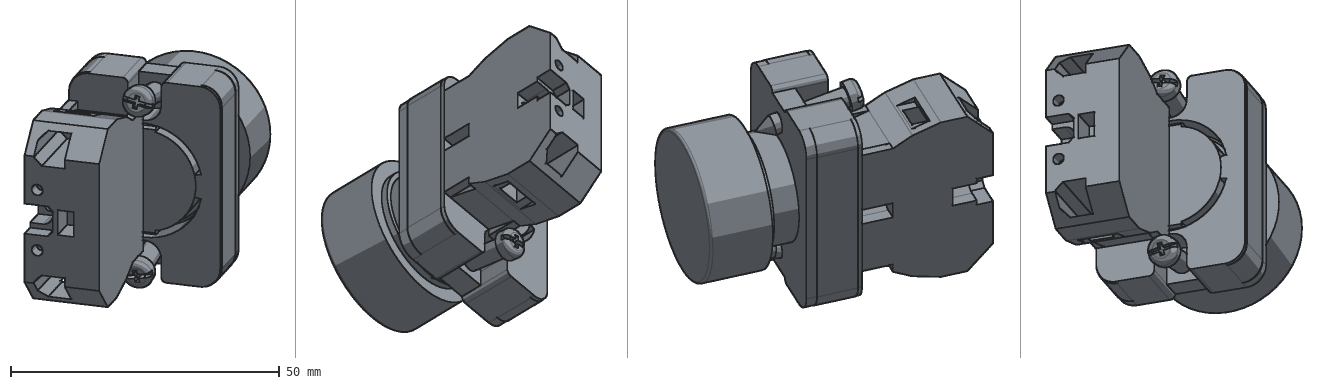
import cadquery as cq
import math


CAP_END = -12.5
GASKET_END = -13.85
COLLAR_BACK = -19.2
BAND_BACK = -21.3
NECK_END = -23.75
BAND_FRONT = -29.45
COLLAR_FRONT = -30.3
SHELF_END = -36.35
BLOCK_FRONT = -56.3

CAP_RADIUS = 14.85
CAP_EDGE_FILLET = 0.5
GASKET_RADIUS = 12.0
NECK_RADIUS = 10.9
STUB_RADIUS = 10.1
KEY_WIDTH = 4.3
KEY_TOP = 10.8
KEY_CHAMFER = 0.5

COLLAR_WIDTH = 29.65
COLLAR_HEIGHT = 40.0
BAND_WIDTH = 29.9
CORNER_RADIUS = 3.95
NOTCH_WIDTH = 6.55
NOTCH_EDGE_FILLET = 1.05
NOTCH_ARC_CENTER = 15.25
TAB_TOP = 19.0
BAYONET_RADIUS = 11.4
BAYONET_START = 12.5

SCREW_TILT = 10.5
TIP_Y = -14.45
TIP_Z = 13.5
TIP_LENGTH = 3.5
SHANK_RADIUS = 1.95
SCREW_UNDER_HEAD = 18.5
HEAD_RADIUS = 2.9
HEAD_HEIGHT = 2.7
HEAD_STRAIGHT = 1.7
HEAD_FACE_RADIUS = 1.8
HEAD_ROUND = 1.1
DRIVE_ANGLE = 11.0
SLOT_WIDTH = 0.85
SLOT_LENGTH = 6.75
SLOT_DEPTH = 1.25
CROSS_LENGTH = 2.5

BLOCK_LEFT = -BAND_WIDTH / 2
BLOCK_RIGHT = -0.3
SHELF_Z = 14.2
KNEE_Y, KNEE_Z = -40.25, 16.2
CREST_Y, CREST_Z = -45.9, 17.8
CHAMFER = 5.1
RAMP_LEFT = -13.1
RAMP_RIGHT = -2.1
RAMP_LOW_Z = 12.5
SIDE_SLOT_RADIUS = 1.65
SIDE_SLOT_STRAIGHT = 2.55
LABEL_LEFT, LABEL_RIGHT = -13.1, -5.25
LABEL_BACK, LABEL_FRONT = -40.75, -44.35
TERMINAL_LEFT, TERMINAL_RIGHT = -13.1, -7.05
TERMINAL_LOW, TERMINAL_HIGH = 10.9, 16.55
TERMINAL_CORNER = 1.6
TERMINAL_BACK = -41.3
HOLE_X = -12.45
PROBE_HOLE_RADIUS = 1.05
PROBE_HOLE_Z = 6.0
PROBE_HOLE_DEPTH = 2.8
CLAMP_WIDTH = 5.95
CLAMP_RIGHT = -9.4
CLAMP_CORNER = 1.0
CLAMP_DEPTH = 3.25
CLAMP_SLOT_RADIUS = 1.95
CLAMP_SLOT_DEPTH = 8.05
CLAMP_HOLE_RADIUS = 1.2
CLAMP_HOLE_DEPTH = 2.8
SOCKET_LEFT, SOCKET_RIGHT = -8.45, -5.3
SOCKET_HEIGHT = 4.95
SOCKET_DEPTH = 5.65


def section_at(y):
    """Workplane whose local x is +X, local y is +Z, and which extrudes toward -Y."""
    return cq.Workplane("XZ", origin=(0, y, 0))


def box(x_range, y_range, z_range):
    """Box spanning three (low, high) ranges."""
    (x0, x1), (y0, y1), (z0, z1) = x_range, y_range, z_range
    return cq.Workplane("XY").box(x1 - x0, y1 - y0, z1 - z0, centered=False).translate((x0, y0, z0))


def disc(radius, y_back, y_front):
    return section_at(y_back).circle(radius).extrude(y_back - y_front)


def with_mirror_image(shape):
    """The shape together with its mirror image in the plane z = 0."""
    return shape.union(shape.mirror("XY"))


def stub_key():
    """Flat-topped key above the stub, bevelled at its front edge."""
    half = KEY_WIDTH / 2
    key = box((-half, half), (COLLAR_FRONT, NECK_END), (0, KEY_TOP))
    return key.edges("<Y and >Z").chamfer(KEY_CHAMFER)


def make_head():
    cap = disc(CAP_RADIUS, 0, CAP_END).faces(">Y").edges().fillet(CAP_EDGE_FILLET)
    neck = disc(NECK_RADIUS, CAP_END, NECK_END)
    stub = disc(STUB_RADIUS, NECK_END, COLLAR_FRONT)
    return cap.union(neck).union(stub).union(with_mirror_image(stub_key()))


def make_gasket():
    return disc(GASKET_RADIUS, CAP_END, GASKET_END).cut(disc(NECK_RADIUS, CAP_END, GASKET_END))


def make_screw():
    """Upper screw: pointed shank and a round head with a slotted cross recess."""
    face_y = -SCREW_UNDER_HEAD - HEAD_HEIGHT
    screw = (
        cq.Workplane("XY")
        .lineTo(SHANK_RADIUS, -TIP_LENGTH)
        .lineTo(SHANK_RADIUS, -SCREW_UNDER_HEAD)
        .lineTo(HEAD_RADIUS, -SCREW_UNDER_HEAD)
        .lineTo(HEAD_RADIUS, -SCREW_UNDER_HEAD - HEAD_STRAIGHT)
        .radiusArc((HEAD_FACE_RADIUS, face_y), HEAD_ROUND)
        .lineTo(0, face_y)
        .close()
        .revolve(360, (0, 0, 0), (0, 1, 0))
    )
    drive_plane = section_at(face_y + SLOT_DEPTH)
    slot = drive_plane.rect(SLOT_LENGTH, SLOT_WIDTH).extrude(SLOT_DEPTH)
    cross = drive_plane.rect(SLOT_WIDTH, CROSS_LENGTH).extrude(SLOT_DEPTH)
    drive = slot.union(cross).rotate((0, 0, 0), (0, 1, 0), DRIVE_ANGLE)
    tilted = screw.cut(drive).rotate((0, 0, 0), (1, 0, 0), -SCREW_TILT)
    return tilted.translate((0, TIP_Y, TIP_Z))


def collar_slab(width, y_back, y_front):
    slab = section_at(y_back).rect(width, COLLAR_HEIGHT).extrude(y_back - y_front)
    return slab.edges("|Y").fillet(CORNER_RADIUS)


def cut_screw_notch(collar):
    """Opening in the upper edge that leaves a low tab for the screw, with a round-bottomed bay before it."""
    half = NOTCH_WIDTH / 2
    top = COLLAR_HEIGHT / 2
    collar = collar.cut(box((-half, half), (COLLAR_FRONT, COLLAR_BACK), (TAB_TOP, top)))
    bay = (
        section_at(NECK_END)
        .moveTo(-half, top)
        .lineTo(-half, NOTCH_ARC_CENTER)
        .threePointArc((0, NOTCH_ARC_CENTER - half), (half, NOTCH_ARC_CENTER))
        .lineTo(half, top)
        .close()
        .extrude(NECK_END - COLLAR_FRONT)
    )
    collar = collar.cut(bay)
    middle = (COLLAR_BACK + COLLAR_FRONT) / 2
    for x in (-half, half):
        edge = cq.selectors.NearestToPointSelector((x, middle, top))
        collar = collar.edges(edge).fillet(NOTCH_EDGE_FILLET)
    return collar


def bayonet_gap():
    """Arc-shaped gap around the upper half of the stub."""
    def on_circle(angle):
        turn = math.radians(angle)
        return (BAYONET_RADIUS * math.cos(turn), BAYONET_RADIUS * math.sin(turn))

    return (
        section_at(NECK_END)
        .lineTo(*on_circle(BAYONET_START))
        .threePointArc(on_circle(90), on_circle(180 - BAYONET_START))
        .close()
        .extrude(NECK_END - COLLAR_FRONT)
    )


def make_collar(screws):
    collar = collar_slab(COLLAR_WIDTH, COLLAR_BACK, COLLAR_FRONT)
    collar = collar.union(collar_slab(BAND_WIDTH, BAND_BACK, BAND_FRONT))
    collar = cut_screw_notch(collar)
    collar = cut_screw_notch(collar.mirror("XY"))
    collar = collar.cut(disc(NECK_RADIUS, COLLAR_BACK, NECK_END))
    collar = collar.cut(disc(STUB_RADIUS, NECK_END, COLLAR_FRONT))
    collar = collar.cut(with_mirror_image(bayonet_gap()))
    for screw in screws:
        collar = collar.cut(screw)
    return collar


def block_profile():
    upper = [
        (COLLAR_FRONT, SHELF_Z),
        (SHELF_END, SHELF_Z),
        (KNEE_Y, KNEE_Z),
        (CREST_Y, CREST_Z),
        (BLOCK_FRONT + CHAMFER, CREST_Z),
        (BLOCK_FRONT, CREST_Z - CHAMFER),
    ]
    lower = [(y, -z) for y, z in reversed(upper)]
    return upper + lower


def ramp_recess():
    """Wedge that slopes the shelf down toward the collar, between its two side strips."""
    return (
        cq.Workplane("YZ", origin=(RAMP_LEFT, 0, 0))
        .polyline([(COLLAR_FRONT, SHELF_Z), (COLLAR_FRONT, RAMP_LOW_Z), (SHELF_END, SHELF_Z)])
        .close()
        .extrude(RAMP_RIGHT - RAMP_LEFT)
    )


def label_recess():
    """Level recess in the sloping face; the terminal pocket breaks through its floor."""
    floor_z = KNEE_Z + (LABEL_BACK - KNEE_Y) * (CREST_Z - KNEE_Z) / (CREST_Y - KNEE_Y)
    return box((LABEL_LEFT, LABEL_RIGHT), (LABEL_FRONT, LABEL_BACK), (floor_z, CREST_Z))


def terminal_pocket():
    inner_left = TERMINAL_LEFT + TERMINAL_CORNER
    return (
        section_at(TERMINAL_BACK)
        .polyline([
            (TERMINAL_RIGHT, TERMINAL_LOW),
            (TERMINAL_RIGHT, TERMINAL_HIGH),
            (inner_left, TERMINAL_HIGH),
            (TERMINAL_LEFT, TERMINAL_HIGH - TERMINAL_CORNER),
            (TERMINAL_LEFT, TERMINAL_LOW + TERMINAL_CORNER),
            (inner_left, TERMINAL_LOW),
        ])
        .close()
        .extrude(TERMINAL_BACK - BLOCK_FRONT)
    )


def probe_hole():
    plane = section_at(BLOCK_FRONT + PROBE_HOLE_DEPTH)
    return plane.center(HOLE_X, PROBE_HOLE_Z).circle(PROBE_HOLE_RADIUS).extrude(PROBE_HOLE_DEPTH)


def side_slot(radius, arc_center_x, y_back, y_front):
    """Slot entering from the -X side and ending in a half round."""
    return (
        section_at(y_back)
        .moveTo(BLOCK_LEFT, radius)
        .lineTo(arc_center_x, radius)
        .threePointArc((arc_center_x + radius, 0), (arc_center_x, -radius))
        .lineTo(BLOCK_LEFT, -radius)
        .close()
        .extrude(y_back - y_front)
    )


def clamp_recess():
    """Stepped recess for the clamping screw at the middle of the front edge."""
    mouth = box(
        (BLOCK_LEFT, CLAMP_RIGHT),
        (BLOCK_FRONT, BLOCK_FRONT + CLAMP_DEPTH),
        (-CLAMP_WIDTH / 2, CLAMP_WIDTH / 2),
    )
    mouth = mouth.edges("|Y and >X").chamfer(CLAMP_CORNER)
    floor_y = BLOCK_FRONT + CLAMP_SLOT_DEPTH
    slot = side_slot(CLAMP_SLOT_RADIUS, HOLE_X, floor_y, BLOCK_FRONT)
    hole = disc(CLAMP_HOLE_RADIUS, floor_y + CLAMP_HOLE_DEPTH, floor_y).translate((HOLE_X, 0, 0))
    return mouth.union(slot).union(hole)


def make_block(screws):
    block = (
        cq.Workplane("YZ", origin=(BLOCK_LEFT, 0, 0))
        .polyline(block_profile())
        .close()
        .extrude(BLOCK_RIGHT - BLOCK_LEFT)
    )
    for feature in (ramp_recess(), label_recess(), terminal_pocket(), probe_hole()):
        block = block.cut(with_mirror_image(feature))

    block = block.cut(box((BLOCK_LEFT, RAMP_LEFT), (SHELF_END, COLLAR_FRONT), (-SHELF_Z, -RAMP_LOW_Z)))

    block = block.cut(side_slot(SIDE_SLOT_RADIUS, BLOCK_LEFT + SIDE_SLOT_STRAIGHT, COLLAR_FRONT, SHELF_END))
    block = block.cut(clamp_recess())
    socket_y = (BLOCK_FRONT, BLOCK_FRONT + SOCKET_DEPTH)
    socket_z = (-SOCKET_HEIGHT / 2, SOCKET_HEIGHT / 2)
    block = block.cut(box((SOCKET_LEFT, SOCKET_RIGHT), socket_y, socket_z))

    for screw in screws:
        block = block.cut(screw)
    return block


upper_screw = make_screw()
screws = [upper_screw, upper_screw.mirror("XY")]
head = make_head()
gasket = make_gasket()
collar = make_collar(screws)
block = make_block(screws)

bodies = [head, gasket, collar, block, *screws]
result = cq.Compound.makeCompound([body.solids().val() for body in bodies])